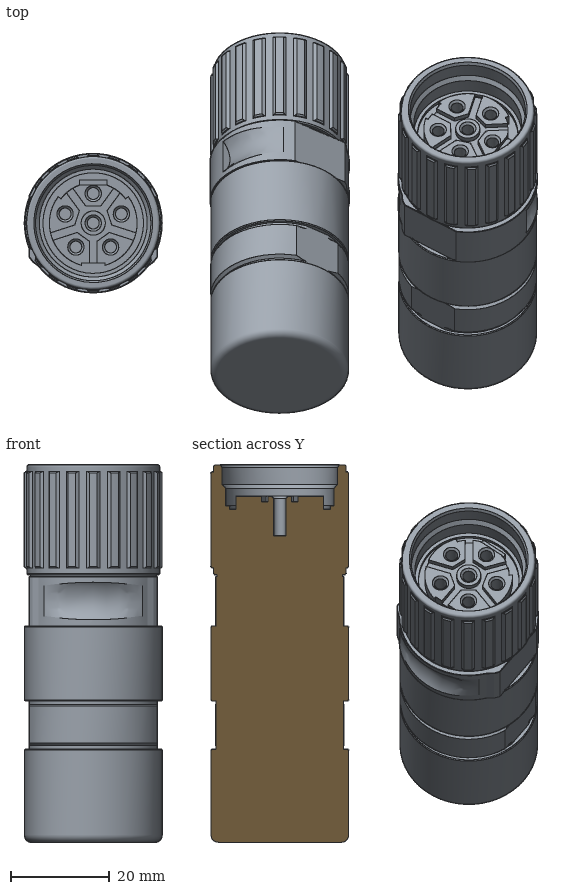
import cadquery as cq
import math

TOTAL_HEIGHT = 76.65
LOWER_BARREL_TOP = 18.95
NECK_BOTTOM = 19.7
NECK_TOP = 27.95
UPPER_BARREL_BOTTOM = 28.7
COLLAR_BOTTOM = 43.95
COLLAR_TOP = 54.0
SLEEVE_BOTTOM = 54.3

BARREL_RADIUS = 14.0
GROOVE_RADIUS = 13.3
FLAT_DISTANCE = 13.0
BASE_FILLET = 1.5
UPPER_NECK_CHAMFER = 0.25
LOWER_NECK_CHAMFER = 0.5
EDGE_CHAMFER = 0.2

COLLAR_RADIUS = 14.15
COLLAR_CORE_RADIUS = 12.8
COLLAR_TOP_CHAMFER = 0.1
CORNER_OUTER_Y = -6.9
CORNER_MIDDLE = (12.3, -7.85)
CORNER_INNER_X = 11.1
RECESS_DEPTH = 1.7
RECESS_EDGE_DEPTH = 0.05
RECESS_END_HALF_HEIGHT = 3.05
RECESS_MIDDLE_HALF_HEIGHT = 3.8
FRONT_RECESS_HALF_WIDTH = 10.0
BACK_RECESS_WIDTH = 11.9
RECESS_Z = 49.0
RECESS_OVERSHOOT = 2.0
RECESS_INTERVALS = 4

SLEEVE_RADIUS = 13.5
SLEEVE_TOP_EDGE = 0.5
SLEEVE_BOTTOM_CHAMFER = 0.25
RIB_COUNT = 20
RIB_BOTTOM = 55.65
RIB_TOP = 75.25
RIB_BASE_WIDTH = 2.7
RIB_CREST_WIDTH = 1.6
RIB_EMBED = 1.0
RIB_END_CHAMFER = 0.3

MOUTH_RADIUS = 12.05
UPPER_BORE_RADIUS = 11.7
MOUTH_CHAMFER_DEPTH = 0.6
LEDGE_TOP_DEPTH = 4.0
LEDGE_BOTTOM_DEPTH = 4.8
LOWER_BORE_RADIUS = 10.95
MOAT_RADIUS = 10.2
MOAT_STEP_DEPTH = 8.3
MOAT_DEPTH = 9.0
FLOOR_DEPTH = 7.5
FACE_DEPTH = 6.4

CONTACT_COUNT = 5
CONTACT_CIRCLE_RADIUS = 6.0
CONTACT_HOLE_RADIUS = 1.2
CONTACT_MOUTH_RADIUS = 1.65
CONTACT_HOLE_DEPTH = 8.0
CENTER_BOSS_RADIUS = 2.45
PAD_RADIUS = 8.9
PAD_REDUCED_RADIUS = 8.2
PAD_REDUCED_HALF_ANGLE = math.radians(53)
PAD_INNER_APOTHEM = 3.45
CHANNEL_WIDTH = 1.6
KEY_NOTCH_WIDTH = 4.8
KEY_NOTCH_Y = -8.05
KEY_TAB_WIDTH = 5.6
KEY_TAB_INNER_Y = 7.75
KEY_TAB_OUTER_Y = 8.75
KEY_TAB_DROP = 0.8

FACE_Z = TOTAL_HEIGHT - FACE_DEPTH
FLOOR_Z = TOTAL_HEIGHT - FLOOR_DEPTH
MOAT_Z = TOTAL_HEIGHT - MOAT_DEPTH


def disc(radius, bottom, top):
    return cq.Workplane("XY").workplane(offset=bottom).circle(radius).extrude(top - bottom)


def centered_box(width, y_min, y_max, bottom, top):
    box = cq.Workplane("XY").box(width, y_max - y_min, top - bottom, centered=(True, False, False))
    return box.translate((0, y_min, bottom))


def revolve_profile(points):
    return cq.Workplane("XZ").polyline(points).close().revolve(360, (0, 0, 0), (0, 1, 0))


def arc_height(radius, offset):
    return math.sqrt(radius**2 - offset**2)


def make_barrels():
    """Lower barrel, flatted neck between two grooves, and upper barrel."""
    edge_radius = BARREL_RADIUS - EDGE_CHAMFER
    lower = revolve_profile([
        (0, 0),
        (BARREL_RADIUS, 0),
        (BARREL_RADIUS, LOWER_BARREL_TOP - EDGE_CHAMFER),
        (edge_radius, LOWER_BARREL_TOP),
        (0, LOWER_BARREL_TOP),
    ])
    lower = lower.faces("<Z").edges().fillet(BASE_FILLET)
    neck = revolve_profile([
        (0, LOWER_BARREL_TOP),
        (GROOVE_RADIUS, LOWER_BARREL_TOP),
        (GROOVE_RADIUS, NECK_BOTTOM),
        (BARREL_RADIUS, NECK_BOTTOM + LOWER_NECK_CHAMFER),
        (BARREL_RADIUS, NECK_TOP - UPPER_NECK_CHAMFER),
        (GROOVE_RADIUS, NECK_TOP),
        (GROOVE_RADIUS, UPPER_BARREL_BOTTOM),
        (0, UPPER_BARREL_BOTTOM),
    ])
    flats = centered_box(
        2 * FLAT_DISTANCE, -BARREL_RADIUS, BARREL_RADIUS, LOWER_BARREL_TOP, UPPER_BARREL_BOTTOM
    )
    upper = revolve_profile([
        (0, UPPER_BARREL_BOTTOM),
        (edge_radius, UPPER_BARREL_BOTTOM),
        (BARREL_RADIUS, UPPER_BARREL_BOTTOM + EDGE_CHAMFER),
        (BARREL_RADIUS, COLLAR_BOTTOM - EDGE_CHAMFER),
        (edge_radius, COLLAR_BOTTOM),
        (0, COLLAR_BOTTOM),
    ])
    return lower.union(neck.intersect(flats)).union(upper)


def recess_section(x, end_distance):
    """Closed section at x; end_distance runs from 0 at mid-recess to 1 at its end."""
    fullness = 1 - end_distance**2
    half_height = RECESS_END_HALF_HEIGHT
    half_height += (RECESS_MIDDLE_HALF_HEIGHT - RECESS_END_HALF_HEIGHT) * fullness
    depth = RECESS_EDGE_DEPTH + (RECESS_DEPTH - RECESS_EDGE_DEPTH) * fullness
    surface = arc_height(COLLAR_RADIUS, x)
    outside = surface + RECESS_OVERSHOOT
    bottom_z = RECESS_Z - half_height
    top_z = RECESS_Z + half_height
    section = (
        cq.Workplane("YZ", origin=(x, 0, 0))
        .moveTo(outside, bottom_z)
        .lineTo(surface, bottom_z)
        .threePointArc((surface - depth, RECESS_Z), (surface, top_z))
        .lineTo(outside, top_z)
        .close()
    )
    return section.val()


def make_recess(x_start, x_end, half_width):
    """Finger recess on the +Y side, deepest at x = 0 and fading out at half_width."""
    step = (x_end - x_start) / RECESS_INTERVALS
    stations = [x_start + i * step for i in range(RECESS_INTERVALS + 1)]
    sections = [recess_section(x, abs(x) / half_width) for x in stations]
    return cq.Workplane(cq.Solid.makeLoft(sections))


def make_collar():
    """Collar with two side flats, bevelled front corners and finger recesses."""
    flat_end_y = arc_height(COLLAR_RADIUS, FLAT_DISTANCE)
    corner_inner_y = -arc_height(COLLAR_RADIUS, CORNER_INNER_X)
    corner_x, corner_y = CORNER_MIDDLE
    collar = (
        cq.Workplane("XY")
        .workplane(offset=COLLAR_BOTTOM)
        .moveTo(-CORNER_INNER_X, corner_inner_y)
        .lineTo(-corner_x, corner_y)
        .lineTo(-FLAT_DISTANCE, CORNER_OUTER_Y)
        .lineTo(-FLAT_DISTANCE, flat_end_y)
        .threePointArc((0, COLLAR_RADIUS), (FLAT_DISTANCE, flat_end_y))
        .lineTo(FLAT_DISTANCE, CORNER_OUTER_Y)
        .lineTo(corner_x, corner_y)
        .lineTo(CORNER_INNER_X, corner_inner_y)
        .threePointArc((0, -COLLAR_RADIUS), (-CORNER_INNER_X, corner_inner_y))
        .close()
        .extrude(COLLAR_TOP - COLLAR_BOTTOM)
    )
    collar = collar.faces(">Z").edges().chamfer(COLLAR_TOP_CHAMFER)
    front_recess = make_recess(
        -FRONT_RECESS_HALF_WIDTH, FRONT_RECESS_HALF_WIDTH, FRONT_RECESS_HALF_WIDTH
    ).mirror("XZ")
    back_recess = make_recess(-BACK_RECESS_WIDTH, 0, BACK_RECESS_WIDTH)
    return collar.cut(front_recess).cut(back_recess)


def make_rib():
    """One trapezoidal grip rib on the +X side with bevelled ends."""
    inner = SLEEVE_RADIUS - RIB_EMBED
    half_base = RIB_BASE_WIDTH / 2
    half_crest = RIB_CREST_WIDTH / 2
    section = (
        cq.Workplane("XY")
        .workplane(offset=RIB_BOTTOM)
        .moveTo(inner, -half_base)
        .lineTo(arc_height(SLEEVE_RADIUS, half_base), -half_base)
        .lineTo(arc_height(BARREL_RADIUS, half_crest), -half_crest)
        .threePointArc((BARREL_RADIUS, 0), (arc_height(BARREL_RADIUS, half_crest), half_crest))
        .lineTo(arc_height(SLEEVE_RADIUS, half_base), half_base)
        .lineTo(inner, half_base)
        .close()
        .extrude(RIB_TOP - RIB_BOTTOM)
    )
    bevelled_ends = revolve_profile([
        (0, RIB_BOTTOM),
        (BARREL_RADIUS - RIB_END_CHAMFER, RIB_BOTTOM),
        (BARREL_RADIUS, RIB_BOTTOM + RIB_END_CHAMFER),
        (BARREL_RADIUS, RIB_TOP - RIB_END_CHAMFER),
        (BARREL_RADIUS - RIB_END_CHAMFER, RIB_TOP),
        (0, RIB_TOP),
    ])
    return section.intersect(bevelled_ends)


def make_sleeve():
    sleeve = disc(SLEEVE_RADIUS, SLEEVE_BOTTOM, TOTAL_HEIGHT)
    sleeve = sleeve.faces(">Z").edges().fillet(SLEEVE_TOP_EDGE)
    sleeve = sleeve.faces("<Z").edges().chamfer(SLEEVE_BOTTOM_CHAMFER)
    rib = make_rib()
    for i in range(RIB_COUNT):
        sleeve = sleeve.union(rib.rotate((0, 0, 0), (0, 0, 1), i * 360 / RIB_COUNT))
    return sleeve.union(disc(COLLAR_CORE_RADIUS, COLLAR_TOP, SLEEVE_BOTTOM))


def make_socket_cut():
    """Stepped bore down to the bottom of the moat that surrounds the insert."""
    return revolve_profile([
        (0, TOTAL_HEIGHT),
        (MOUTH_RADIUS, TOTAL_HEIGHT),
        (UPPER_BORE_RADIUS, TOTAL_HEIGHT - MOUTH_CHAMFER_DEPTH),
        (UPPER_BORE_RADIUS, TOTAL_HEIGHT - LEDGE_TOP_DEPTH),
        (LOWER_BORE_RADIUS, TOTAL_HEIGHT - LEDGE_BOTTOM_DEPTH),
        (LOWER_BORE_RADIUS, TOTAL_HEIGHT - MOAT_STEP_DEPTH),
        (MOAT_RADIUS, TOTAL_HEIGHT - MOAT_STEP_DEPTH),
        (MOAT_RADIUS, MOAT_Z),
        (0, MOAT_Z),
    ])


def make_insert():
    """Keyed insert standing in the moat, its face split into five pads by radial channels."""
    reach = 2 * PAD_RADIUS
    wedge_x = reach * math.sin(PAD_REDUCED_HALF_ANGLE)
    wedge_y = reach * math.cos(PAD_REDUCED_HALF_ANGLE)
    reduced_zone = (
        cq.Workplane("XY")
        .workplane(offset=MOAT_Z)
        .polyline([(0, 0), (wedge_x, wedge_y), (0, reach), (-wedge_x, wedge_y)])
        .close()
        .extrude(FACE_Z - MOAT_Z)
    )
    insert = disc(PAD_RADIUS, MOAT_Z, FACE_Z).cut(reduced_zone)
    insert = insert.union(disc(PAD_REDUCED_RADIUS, MOAT_Z, FACE_Z))

    hub_diameter = 2 * PAD_INNER_APOTHEM / math.cos(math.pi / CONTACT_COUNT)
    hub = (
        cq.Workplane("XY")
        .workplane(offset=FLOOR_Z)
        .polygon(CONTACT_COUNT, hub_diameter)
        .extrude(FACE_Z - FLOOR_Z)
        .rotate((0, 0, 0), (0, 0, 1), -90)
    )
    insert = insert.cut(hub)
    channel = centered_box(CHANNEL_WIDTH, -reach, 0, FLOOR_Z, FACE_Z)
    for i in range(CONTACT_COUNT):
        insert = insert.cut(channel.rotate((0, 0, 0), (0, 0, 1), i * 360 / CONTACT_COUNT))

    key_notch = centered_box(KEY_NOTCH_WIDTH, -reach, KEY_NOTCH_Y, MOAT_Z, FACE_Z)
    tab_top = FACE_Z - KEY_TAB_DROP
    tab_seat = centered_box(KEY_TAB_WIDTH, KEY_TAB_INNER_Y, KEY_TAB_OUTER_Y, tab_top, FACE_Z)
    key_tab = centered_box(KEY_TAB_WIDTH, KEY_TAB_INNER_Y, KEY_TAB_OUTER_Y, MOAT_Z, tab_top)
    center_boss = disc(CENTER_BOSS_RADIUS, FLOOR_Z, FACE_Z)
    return insert.cut(key_notch).cut(tab_seat).union(key_tab).union(center_boss)


def make_contact_hole():
    """Contact hole on the axis with a flared mouth."""
    flare_depth = CONTACT_MOUTH_RADIUS - CONTACT_HOLE_RADIUS
    return revolve_profile([
        (0, FACE_Z),
        (CONTACT_MOUTH_RADIUS, FACE_Z),
        (CONTACT_HOLE_RADIUS, FACE_Z - flare_depth),
        (CONTACT_HOLE_RADIUS, FACE_Z - CONTACT_HOLE_DEPTH),
        (0, FACE_Z - CONTACT_HOLE_DEPTH),
    ])


def cut_contact_holes(body):
    hole = make_contact_hole()
    body = body.cut(hole)
    outer_hole = hole.translate((0, CONTACT_CIRCLE_RADIUS, 0))
    for i in range(CONTACT_COUNT):
        body = body.cut(outer_hole.rotate((0, 0, 0), (0, 0, 1), i * 360 / CONTACT_COUNT))
    return body


connector = make_barrels().union(make_collar()).union(make_sleeve())
connector = connector.cut(make_socket_cut()).union(make_insert())
result = cut_contact_holes(connector)